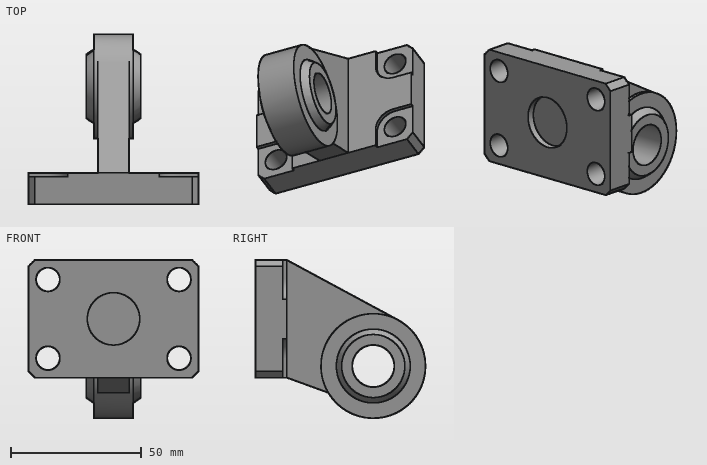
import cadquery as cq
import math


overall_depth = 65.0
plate_width = 65.0
plate_height = 45.0
plate_thickness = 12.0
corner_chamfer = 2.5
bolt_hole_diameter = 9.0
bolt_edge_distance = 7.5
spot_face_depth = 1.5
recess_diameter = 20.0
recess_depth = 3.0

eye_diameter = 40.0
eye_width = 15.0
arm_width = 12.0
arm_underside_angle = 20.0
plate_top = 40.5

ball_diameter = 32.0
ball_width = 21.0
ball_bore = 16.0

eye_radius = eye_diameter / 2
plate_front = eye_radius - overall_depth
plate_back = plate_front + plate_thickness
plate_bottom = plate_top - plate_height
plate_middle = plate_top - plate_height / 2
bolt_x = plate_width / 2 - bolt_edge_distance
bolt_z = plate_height / 2 - bolt_edge_distance


def plate_plane(y):
    """Plane parallel to the plate at depth y, centred on it: local x = X, local y = Z, normal = -Y."""
    return cq.Workplane("XZ", origin=(0, y, plate_middle))


def x_cylinder(diameter, length):
    """Cylinder along the eye axis, centred on the ball centre."""
    return cq.Workplane("YZ").circle(diameter / 2).extrude(length / 2, both=True)


def make_ball_sphere():
    return cq.Workplane("XY").sphere(ball_diameter / 2)


def make_spot_face(side_x, side_z):
    """Flat cut open to one plate corner, with its inner corner rounded about the bolt hole."""
    reach = bolt_edge_distance
    edge_x = side_x * plate_width / 2
    edge_z = side_z * plate_height / 2
    hole_x = side_x * bolt_x
    hole_z = side_z * bolt_z
    inner_x = hole_x - side_x * reach
    inner_z = hole_z - side_z * reach
    arc_offset = reach * math.sqrt(0.5)
    return (
        plate_plane(plate_back)
        .moveTo(edge_x, edge_z)
        .lineTo(inner_x, edge_z)
        .lineTo(inner_x, hole_z)
        .threePointArc((hole_x - side_x * arc_offset, hole_z - side_z * arc_offset), (hole_x, inner_z))
        .lineTo(edge_x, inner_z)
        .close()
        .extrude(spot_face_depth)
    )


def make_plate():
    plate = (
        plate_plane(plate_back)
        .rect(plate_width, plate_height)
        .extrude(plate_thickness)
        .edges("|Y")
        .chamfer(corner_chamfer)
    )
    bolt_holes = (
        plate_plane(plate_back)
        .rect(2 * bolt_x, 2 * bolt_z, forConstruction=True)
        .vertices()
        .circle(bolt_hole_diameter / 2)
        .extrude(plate_thickness)
    )
    recess = plate_plane(plate_front + recess_depth).circle(recess_diameter / 2).extrude(recess_depth)
    plate = plate.cut(bolt_holes).cut(recess)
    for side_x in (-1, 1):
        for side_z in (-1, 1):
            plate = plate.cut(make_spot_face(side_x, side_z))
    return plate


def make_arm():
    """Web from the plate to the eye; its top runs tangent to the eye."""
    corner_distance = math.hypot(plate_back, plate_top)
    corner_angle = math.atan2(plate_top, plate_back)
    tangent_angle = corner_angle - math.acos(eye_radius / corner_distance)
    tangent_point = (eye_radius * math.cos(tangent_angle), eye_radius * math.sin(tangent_angle))
    underside_end = (0, plate_bottom + plate_back * math.tan(math.radians(arm_underside_angle)))
    return (
        cq.Workplane("YZ")
        .polyline([(plate_back, plate_top), tangent_point, underside_end, (plate_back, plate_bottom)])
        .close()
        .extrude(arm_width / 2, both=True)
    )


def make_bracket():
    eye = x_cylinder(eye_diameter, eye_width)
    return make_plate().union(make_arm()).union(eye).cut(make_ball_sphere())


def make_ball():
    """Ball with flat ends and a through bore, seated in the eye."""
    ends_trimmed = make_ball_sphere().intersect(x_cylinder(ball_diameter, ball_width))
    return ends_trimmed.cut(x_cylinder(ball_bore, ball_width))


bracket = make_bracket().solids()
ball = make_ball().solids()

result = cq.Compound.makeCompound([bracket.val(), ball.val()])